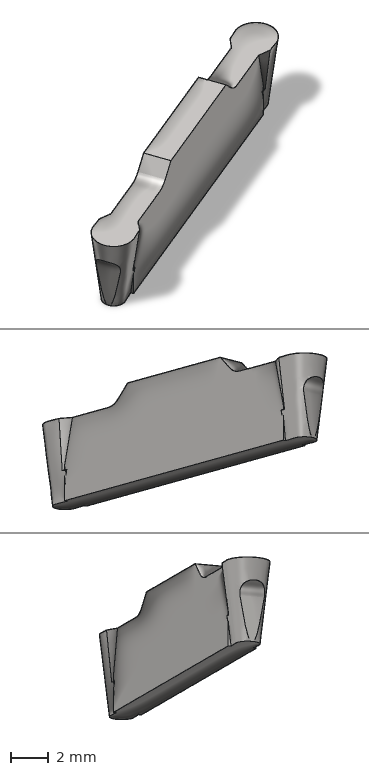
import cadquery as cq
import math

length = 20.6
body_width = 1.59
shoulder_height = 4.45
total_height = 5.5

crest_half_length = 3.52
ramp_angle = math.radians(45)
ramp_foot_radius = 1.05

head_radius = 1.2
head_draft = 6.8
relief_angle = math.radians(2.5)
flank_angle = math.radians(30)
flank_start = 1.94
flank_bottom = 1.67
lower_relief_end = 2.18
body_end_inset = 1.98

flat_inset = 0.54
flat_top = 2.43
runout_radius = 1.05

tip_y = -length / 2


def make_body():
    """Straight bar with the raised middle, extruded across X."""
    end_y = length / 2 - body_end_inset
    foot_run = ramp_foot_radius * math.sin(ramp_angle)
    foot_rise = ramp_foot_radius * (1 - math.cos(ramp_angle))
    ramp_drop = total_height - shoulder_height - foot_rise
    ramp_end_y = crest_half_length + ramp_drop / math.tan(ramp_angle)
    foot_y = ramp_end_y + foot_run
    arc_mid_y = foot_y - ramp_foot_radius * math.sin(ramp_angle / 2)
    arc_mid_z = shoulder_height + ramp_foot_radius * (1 - math.cos(ramp_angle / 2))
    ramp_end_z = shoulder_height + foot_rise
    return (
        cq.Workplane("YZ")
        .moveTo(-end_y, 0)
        .lineTo(end_y, 0)
        .lineTo(end_y, shoulder_height)
        .lineTo(foot_y, shoulder_height)
        .threePointArc((arc_mid_y, arc_mid_z), (ramp_end_y, ramp_end_z))
        .lineTo(crest_half_length, total_height)
        .lineTo(-crest_half_length, total_height)
        .lineTo(-ramp_end_y, ramp_end_z)
        .threePointArc((-arc_mid_y, arc_mid_z), (-foot_y, shoulder_height))
        .lineTo(-end_y, shoulder_height)
        .close()
        .extrude(body_width / 2, both=True)
    )


def make_drafted_head(relief_end):
    """Drafted -Y head; past relief_end from the tip its flanks meet inside the body."""
    center_y = tip_y + head_radius
    tangent_x = head_radius * math.cos(relief_angle)
    tangent_y = center_y + head_radius * math.sin(relief_angle)
    corner_y = tip_y + relief_end
    corner_x = tangent_x - (corner_y - tangent_y) * math.tan(relief_angle)
    apex_y = corner_y + corner_x / math.tan(flank_angle)
    return (
        cq.Workplane("XY")
        .workplane(offset=shoulder_height)
        .moveTo(-tangent_x, tangent_y)
        .threePointArc((0, tip_y), (tangent_x, tangent_y))
        .lineTo(corner_x, corner_y)
        .lineTo(0, apex_y)
        .lineTo(-corner_x, corner_y)
        .close()
        .extrude(-shoulder_height, taper=head_draft)
    )


def make_head():
    """Flanked head whose relief walls reach the body end in the lower part."""
    lower_zone = cq.Workplane("XY").box(
        2 * head_radius, 2 * length, flank_bottom, centered=(True, True, False)
    )
    lower_head = make_drafted_head(lower_relief_end).intersect(lower_zone)
    return make_drafted_head(flank_start).union(lower_head)


def make_tip_clearance():
    """Cutter for the vertical flat, whose quarter-round top is tangent to it."""
    flat_y = tip_y + flat_inset
    arc_center_y = flat_y - runout_radius
    diagonal = runout_radius * math.sqrt(0.5)
    return (
        cq.Workplane("YZ")
        .moveTo(arc_center_y, 0)
        .lineTo(flat_y, 0)
        .lineTo(flat_y, flat_top)
        .threePointArc(
            (arc_center_y + diagonal, flat_top + diagonal),
            (arc_center_y, flat_top + runout_radius),
        )
        .close()
        .extrude(head_radius, both=True)
    )


near_head = make_head().cut(make_tip_clearance())
far_head = near_head.mirror("XZ")
result = make_body().union(near_head).union(far_head)